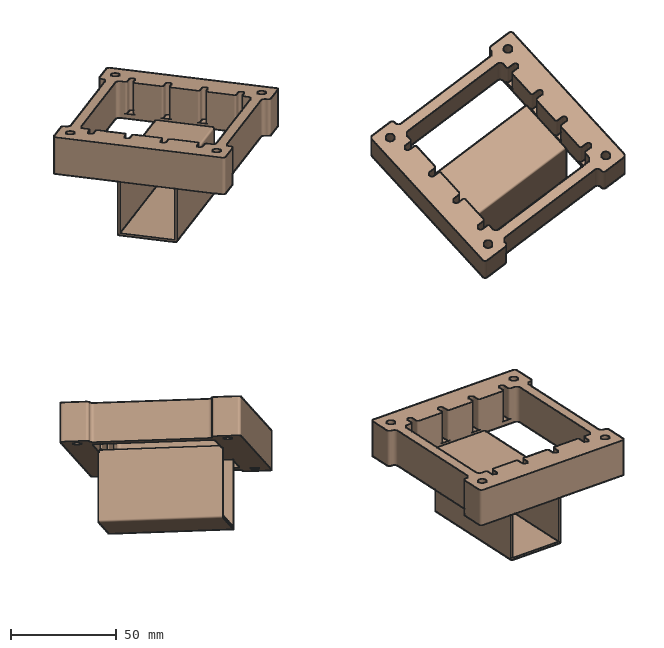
import cadquery as cq

frame_width = 85.0
frame_length = 87.0
total_height = 52.7

frame_height = 19.0
window_width = 67.0
window_length = 59.0
rail_thickness = 5.1
outer_corner_radius = 1.5
inner_corner_radius = 2.0

hole_diameter = 4.2
hole_spacing = 72.5

slot_count = 4
slot_pitch = 18.0
slot_width = 3.0
slot_depth = 5.1
slot_mouth_radius = 1.0
slot_floor_thickness = 2.5

tube_width = 29.5
tube_length = 59.9
tube_wall = 1.2
tube_corner_radius = 1.0

tube_bottom = frame_height - total_height
tube_height = tube_wall - tube_bottom
tube_center_z = tube_bottom + tube_height / 2


def make_frame():
    """H-shaped block with rounded corners and a rounded rectangular window."""
    waist_width = window_width + 2 * rail_thickness
    notch_depth = (frame_width - waist_width) / 2
    waist_edge = waist_width / 2
    bar_inner_face = window_length / 2

    block = cq.Workplane("XY").box(frame_width, frame_length, frame_height, centered=(True, True, False))
    for side in (-1, 1):
        notch = (
            cq.Workplane("XY")
            .center(side * (waist_edge + notch_depth / 2), 0)
            .rect(notch_depth, window_length)
            .extrude(frame_height)
        )
        block = block.cut(notch)

    waist_corners = [(x, y) for x in (-waist_edge, waist_edge) for y in (-bar_inner_face, bar_inner_face)]
    for x, y in waist_corners:
        corner = cq.selectors.NearestToPointSelector((x, y, frame_height / 2))
        block = block.edges(corner).fillet(inner_corner_radius)

    bar_ends = block.faces("<X or >X").edges("|Z")
    block = bar_ends.fillet(outer_corner_radius)

    window = (
        cq.Workplane("XY")
        .rect(window_width, window_length)
        .extrude(frame_height)
        .edges("|Z")
        .fillet(inner_corner_radius)
    )
    return block.cut(window)


def make_slot(x, side):
    """Cutter for one round-ended slot with a flared mouth; side is the sign of its Y direction."""
    half_width = slot_width / 2
    half_mouth = half_width + slot_mouth_radius
    mouth_y = side * window_length / 2
    throat_y = mouth_y + side * slot_mouth_radius
    tip_y = mouth_y + side * slot_depth
    round_start_y = tip_y - side * half_width
    arc_inset = slot_mouth_radius * (1 - 0.5 ** 0.5)
    arc_middle_x = half_width + arc_inset
    arc_middle_y = mouth_y + side * arc_inset

    return (
        cq.Workplane("XY", origin=(x, 0, slot_floor_thickness))
        .moveTo(-half_mouth, mouth_y)
        .threePointArc((-arc_middle_x, arc_middle_y), (-half_width, throat_y))
        .lineTo(-half_width, round_start_y)
        .threePointArc((0, tip_y), (half_width, round_start_y))
        .lineTo(half_width, throat_y)
        .threePointArc((arc_middle_x, arc_middle_y), (half_mouth, mouth_y))
        .close()
        .extrude(frame_height - slot_floor_thickness)
    )


def make_holes():
    """Cutter for the four through holes."""
    return (
        cq.Workplane("XY")
        .rect(hole_spacing, hole_spacing, forConstruction=True)
        .vertices()
        .circle(hole_diameter / 2)
        .extrude(frame_height)
    )


def make_tube_body():
    """Outside of the tube, with its long edges rounded."""
    return (
        cq.Workplane("XY", origin=(0, 0, tube_center_z))
        .box(tube_width, tube_length, tube_height)
        .edges("|Y")
        .fillet(tube_corner_radius)
    )


def make_tube_bore():
    """Square-cornered opening through the tube along Y."""
    bore_width = tube_width - 2 * tube_wall
    bore_height = tube_height - 2 * tube_wall
    return cq.Workplane("XY", origin=(0, 0, tube_center_z)).box(bore_width, tube_length, bore_height)


frame = make_frame().cut(make_holes())
for index in range(slot_count):
    slot_x = (index - (slot_count - 1) / 2) * slot_pitch
    for slot_side in (-1, 1):
        frame = frame.cut(make_slot(slot_x, slot_side))

result = frame.union(make_tube_body().cut(make_tube_bore()))